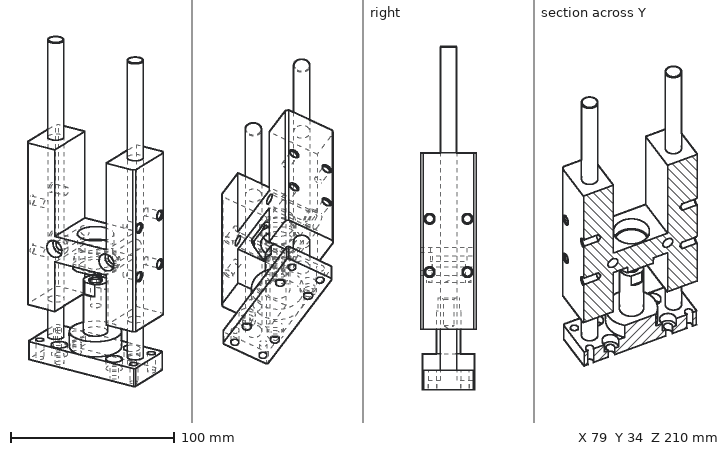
import cadquery as cq
import math

overall_height = 210.0

plate_length = 78.0
plate_width = 32.0
plate_thickness = 12.0
plate_corner_chamfer = 0.8
disc_diameter = 32.0
disc_height = 10.0
spindle_diameter = 15.0
spindle_top = 56.3
spindle_flat_distance = 13.0
spindle_flat_height = 8.0
spindle_bore_diameter = 6.7
spindle_bore_mouth = 8.5
spindle_bore_depth = 16.8
rod_diameter = 10.0
rod_spacing = 58.0
rod_chamfer = 0.5

small_hole_diameter = 4.8
small_hole_spacing = 68.5
plate_bore_diameter = 5.5
plate_counterbore_diameter = 10.0
plate_counterbore_depth = 6.0
plate_bore_spacing = 40.0
plate_hole_pitch_y = 20.0

housing_length = 79.0
housing_width = 34.0
housing_height = 108.0
housing_bottom = 37.0
housing_corner_chamfer = 1.5
leg_gap = 37.4
bridge_bottom = 70.1
bridge_height = 17.0
hex_across_flats = 27.0
hex_height = 4.5
hex_corner_chamfer = 1.3
thread_bore_diameter = 20.4
entry_bore_diameter = 22.0
entry_bore_depth = 8.5

cross_hole_diameter = 6.5
cross_counterbore_diameter = 11.0
cross_counterbore_depth = 7.0
cross_hole_spacing = 38.0
side_hole_diameter = 5.0
side_hole_mouth = 6.5
side_hole_depth = 10.5
side_hole_pitch_y = 23.0
side_hole_pitch_z = 32.5
lowest_side_hole_z = 72.0

drill_point_angle = 118.0

disc_top = plate_thickness + disc_height
bridge_top = bridge_bottom + bridge_height
bridge_middle = bridge_bottom + bridge_height / 2
hex_bottom = bridge_bottom - hex_height
rod_centres = [(-rod_spacing / 2, 0), (rod_spacing / 2, 0)]


def cylinder(diameter, bottom, top, centres=((0, 0),)):
    """Upright cylinders of one diameter between two heights."""
    return (
        cq.Workplane("XY").workplane(offset=bottom).pushPoints(centres)
        .circle(diameter / 2).extrude(top - bottom)
    )


def drilled_hole(diameter, mouth_diameter, depth):
    """Blind drilling down -Z from the origin, with a 45 degree mouth and a conical end."""
    radius = diameter / 2
    mouth_radius = mouth_diameter / 2
    point_length = radius / math.tan(math.radians(drill_point_angle / 2))
    profile = [
        (0, 0),
        (mouth_radius, 0),
        (radius, radius - mouth_radius),
        (radius, -depth),
        (0, -depth - point_length),
    ]
    return cq.Workplane("XZ").polyline(profile).close().revolve(360, (0, 0), (0, 1))


def make_base_plate():
    plate = (
        cq.Workplane("XY").box(plate_length, plate_width, plate_thickness, centered=(True, True, False))
        .edges("|Z").chamfer(plate_corner_chamfer)
    )
    plate = (
        plate.faces(">Z").workplane()
        .rarray(small_hole_spacing, plate_hole_pitch_y, 2, 2).hole(small_hole_diameter)
    )
    return (
        plate.faces(">Z").workplane()
        .rarray(plate_bore_spacing, plate_hole_pitch_y, 2, 2)
        .cboreHole(plate_bore_diameter, plate_counterbore_diameter, plate_counterbore_depth)
    )


def make_spindle():
    spindle = cylinder(spindle_diameter, disc_top, spindle_top)
    flat_bottom = spindle_top - spindle_flat_height
    for side in (-1, 1):
        flat_cut = cq.Workplane("XY").box(
            spindle_diameter, spindle_diameter, spindle_flat_height, centered=(True, True, False)
        )
        offset = side * (spindle_flat_distance + spindle_diameter) / 2
        spindle = spindle.cut(flat_cut.translate((0, offset, flat_bottom)))
    bore = drilled_hole(spindle_bore_diameter, spindle_bore_mouth, spindle_bore_depth)
    return spindle.cut(bore.translate((0, 0, spindle_top)))


def make_slide():
    disc = cylinder(disc_diameter, plate_thickness, disc_top)
    rods = cylinder(rod_diameter, plate_thickness, overall_height, rod_centres)
    rods = rods.faces(">Z").chamfer(rod_chamfer)
    return make_base_plate().union(disc).union(make_spindle()).union(rods)


def make_housing_block():
    block = (
        cq.Workplane("XY").workplane(offset=housing_bottom)
        .box(housing_length, housing_width, housing_height, centered=(True, True, False))
        .edges("|Z").chamfer(housing_corner_chamfer)
    )
    housing_top = housing_bottom + housing_height
    for bottom, top in ((housing_bottom, bridge_bottom), (bridge_top, housing_top)):
        gap = cq.Workplane("XY").workplane(offset=bottom).rect(leg_gap, housing_width).extrude(top - bottom)
        block = block.cut(gap)
    return block


def make_hex_collar():
    across_corners = hex_across_flats / math.cos(math.radians(30))
    collar = (
        cq.Workplane("XY").workplane(offset=hex_bottom)
        .polygon(6, across_corners).extrude(hex_height)
    )
    turned_blank = (
        cylinder(across_corners, hex_bottom, bridge_bottom)
        .faces("<Z").chamfer(hex_corner_chamfer)
    )
    return collar.intersect(turned_blank)


def cut_cross_holes(body):
    for side in (-1, 1):
        axis = cq.Workplane("XZ").center(side * cross_hole_spacing / 2, bridge_middle)
        through = axis.circle(cross_hole_diameter / 2).extrude(housing_width / 2, both=True)
        head = (
            axis.workplane(offset=housing_width / 2)
            .circle(cross_counterbore_diameter / 2).extrude(-cross_counterbore_depth)
        )
        body = body.cut(through).cut(head)
    return body


def cut_side_holes(body):
    hole = drilled_hole(side_hole_diameter, side_hole_mouth, side_hole_depth)
    for side in (-1, 1):
        turned = hole.rotate((0, 0, 0), (0, 1, 0), side * 90)
        for y in (-side_hole_pitch_y / 2, side_hole_pitch_y / 2):
            for z in (lowest_side_hole_z, lowest_side_hole_z + side_hole_pitch_z):
                body = body.cut(turned.translate((side * housing_length / 2, y, z)))
    return body


def make_housing():
    body = make_housing_block().union(make_hex_collar())
    body = body.cut(cylinder(thread_bore_diameter, hex_bottom, bridge_top))
    body = body.cut(cylinder(entry_bore_diameter, bridge_top - entry_bore_depth, bridge_top))
    body = body.cut(cylinder(rod_diameter, housing_bottom, housing_bottom + housing_height, rod_centres))
    return cut_side_holes(cut_cross_holes(body))


slide = make_slide()
housing = make_housing()
result = cq.Compound.makeCompound([slide.val(), housing.val()])